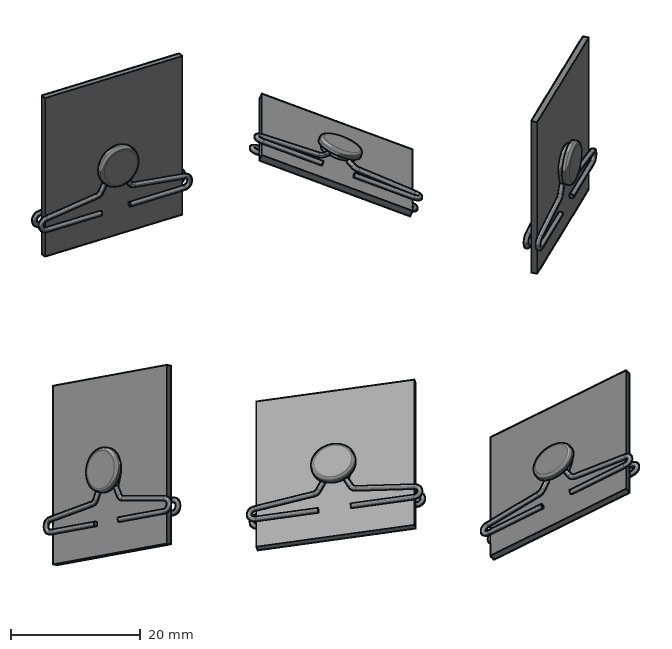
import cadquery as cq
import math

PLATE_THICKNESS = 1.0
PLATE_WIDTH = 25.0
PLATE_HEIGHT = 28.0

BUTTON_HEIGHT_Z = 13.0
OVERALL_THICKNESS = 5.0
HEAD_RADIUS = 3.5
HEAD_THICKNESS = 1.0
HEAD_FILLET = 0.5
STEM_RADIUS = 2.0

WIRE_RADIUS = 0.4
WIRE_OFFSET_X = 0.98
BEND_RADIUS = 1.0
LOOP_RADIUS = 2.52
KNEE_DROP = 2.72
BEND_END_Y = 3.35
ARM_ANGLE = math.radians(7.5)
LEG_ANGLE = math.radians(27)
HOOK_CENTER_Y = PLATE_WIDTH / 2
HOOK_DROP = 7.0
BAR_END_Y = 2.6


def polar(center, radius, angle):
    """Point on a circle, with the angle measured from +Y towards +Z."""
    return (center[0] + radius * math.cos(angle), center[1] + radius * math.sin(angle))


def mirrored(point):
    return (-point[0], point[1])


def make_plate():
    """Plate with a stem and a round-edged head fixed to each face."""
    plate = cq.Workplane("XY").box(
        PLATE_THICKNESS, PLATE_WIDTH, PLATE_HEIGHT, centered=(True, True, False)
    )
    stem_length = OVERALL_THICKNESS / 2 - HEAD_THICKNESS
    for side in (1, -1):
        stem = (
            cq.Workplane("YZ")
            .center(0, BUTTON_HEIGHT_Z)
            .circle(STEM_RADIUS)
            .extrude(side * stem_length)
        )
        head = (
            cq.Workplane("YZ", origin=(side * stem_length, 0, 0))
            .center(0, BUTTON_HEIGHT_Z)
            .circle(HEAD_RADIUS)
            .extrude(side * HEAD_THICKNESS)
            .faces(">X" if side > 0 else "<X")
            .edges()
            .fillet(HEAD_FILLET)
        )
        plate = plate.union(stem).union(head)
    return plate


def make_clip(x):
    """Symmetric bent wire lying in the plane at the given X."""
    arm_normal = math.pi / 2 - ARM_ANGLE
    hook = (HOOK_CENTER_Y, BUTTON_HEIGHT_Z - HOOK_DROP)

    bar_end = (BAR_END_Y, hook[1] - BEND_RADIUS)
    hook_start = polar(hook, BEND_RADIUS, -math.pi / 2)
    hook_middle = polar(hook, BEND_RADIUS, 0)
    hook_end = polar(hook, BEND_RADIUS, arm_normal)
    arm_rise = (hook_end[0] - BEND_END_Y) * math.tan(ARM_ANGLE)
    bend_start = (BEND_END_Y, hook_end[1] + arm_rise)
    bend = polar(bend_start, BEND_RADIUS, arm_normal)
    bend_end_angle = math.pi + LEG_ANGLE
    bend_start_angle = math.pi + arm_normal
    bend_middle = polar(bend, BEND_RADIUS, (bend_start_angle + bend_end_angle) / 2)
    bend_end = polar(bend, BEND_RADIUS, bend_end_angle)
    knee_z = BUTTON_HEIGHT_Z - KNEE_DROP
    knee = (bend_end[0] - (knee_z - bend_end[1]) * math.tan(LEG_ANGLE), knee_z)

    button_axis = (0, BUTTON_HEIGHT_Z)
    knee_distance = math.hypot(knee[0], KNEE_DROP)
    loop_end_angle = math.acos(LOOP_RADIUS / knee_distance) - math.atan2(KNEE_DROP, knee[0])
    loop_end = polar(button_axis, LOOP_RADIUS, loop_end_angle)
    loop_top = (0, BUTTON_HEIGHT_Z + LOOP_RADIUS)

    centreline = (
        cq.Workplane("YZ", origin=(x, 0, 0))
        .moveTo(*bar_end)
        .lineTo(*hook_start)
        .threePointArc(hook_middle, hook_end)
        .lineTo(*bend_start)
        .threePointArc(bend_middle, bend_end)
        .lineTo(*knee)
        .lineTo(*loop_end)
        .threePointArc(loop_top, mirrored(loop_end))
        .lineTo(*mirrored(knee))
        .lineTo(*mirrored(bend_end))
        .threePointArc(mirrored(bend_middle), mirrored(bend_start))
        .lineTo(*mirrored(hook_end))
        .threePointArc(mirrored(hook_middle), mirrored(hook_start))
        .lineTo(*mirrored(bar_end))
    )
    return (
        cq.Workplane("XZ", origin=(x, bar_end[0], bar_end[1]))
        .circle(WIRE_RADIUS)
        .sweep(centreline, transition="right")
    )


plate = make_plate()
clips = [make_clip(side * WIRE_OFFSET_X) for side in (1, -1)]

result = cq.Compound.makeCompound([plate.solids().val(), *[clip.val() for clip in clips]])